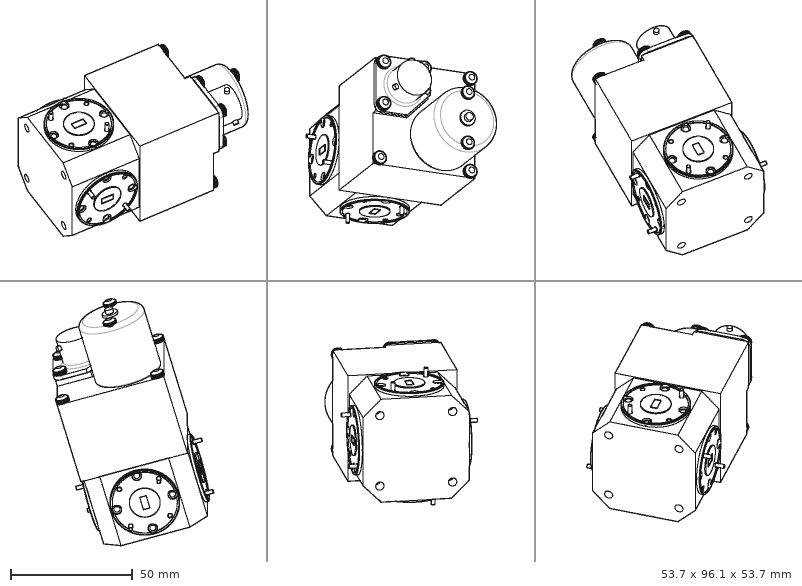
import cadquery as cq
import math


block_width = 44.4
block_length = 31.7
block_chamfer = 7.5
mount_hole_offset = 15.2
mount_hole_radius = 1.7
mount_hole_depth = 7.7
drill_point_angle = 118.0

flange_center_y = 16.0
flange_radius = 14.3
flange_thickness = 1.4
flange_edge_chamfer = 0.3
rim_inner_radius = 13.4
relief_depth = 0.5
land_radius = 6.3
port_width = 2.8
port_length = 5.6
port_depth = 0.3
hole_circle_radius = 11.9
screw_hole_radius = 1.25
screw_hole_depth = 5.8
counterbore_radius = 1.9
counterbore_depth = 0.9
dowel_radius = 0.82
dowel_span = 53.7
dowel_hole_depth = 3.8
dowel_hole_lead_in = 0.2
dowel_tip_chamfer = 0.14
dowel_angles = (45, 225)
empty_hole_angles = (135, 315)

housing_width = 45.6
housing_length = 35.0
boss_height = 2.4
boss_side = -0.7
boss_corner_cut = 8.5

cover_offset = -7.64
cover_radius = 13.9
cover_length = 26.7
cover_top_fillet = 2.0
cover_base_fillet = 0.6
cover_screw_offset = 11.0
cover_pad_radius = 2.1
cover_pad_rise = 0.3
indicator_disc_radius = 3.3
indicator_disc_height = 1.0
indicator_stem_radius = 1.68
indicator_tip_y = 96.1

connector_offset = 11.2
plate_width = 24.4
plate_thickness = 1.8
plate_corner_radius = 3.6
plate_corner_cut = 10.3
barrel_radius = 7.64
barrel_length = 11.5
barrel_root_fillet = 1.1
bayonet_radius = 1.11
bayonet_tip_radius = 9.0
bayonet_setback = 2.8
bayonet_angles = (90, 210, 330)
connector_screw_offset = 9.0

screw_radius = 2.8
head_rim_height = 0.3
head_tooth_height = 0.9
dome_height = 0.9
dome_top_radius = 1.25
washer_rim_height = 0.3
washer_tooth_height = 0.3
tooth_count = 16
tooth_depth = 0.3
tooth_gap = 0.6
base_screw_offset = 20.3

housing_end_y = block_length + housing_length
boss_end_y = housing_end_y + boss_height
plate_end_y = boss_end_y + plate_thickness
barrel_end_y = plate_end_y + barrel_length
cover_end_y = housing_end_y + cover_length
pad_end_y = cover_end_y + cover_pad_rise
disc_end_y = cover_end_y + indicator_disc_height
cover_screw_heights = [cover_offset - cover_screw_offset, cover_offset + cover_screw_offset]

flange_face = block_width / 2 + flange_thickness
relief_face = flange_face - relief_depth


def section(start_y, x=0.0, z=0.0):
    """Workplane across the Y axis, with local x along X and local y along Z."""
    return cq.Workplane("XZ", origin=(x, start_y, z))


def cylinder_y(radius, start_y, end_y, x, z):
    return section(start_y, x, z).circle(radius).extrude(start_y - end_y)


def drilled_hole(radius, depth):
    """Cutter for a blind hole with a conical bottom, running down from Z = 0."""
    point_depth = radius / math.tan(math.radians(drill_point_angle / 2))
    profile = [(0, 0), (radius, 0), (radius, -depth), (0, -depth - point_depth)]
    return cq.Workplane("XZ").polyline(profile).close().revolve(360, (0, 0), (0, 1))


def make_block():
    block = section(0).rect(block_width, block_width).extrude(-block_length)
    block = block.edges("|Y").chamfer(block_chamfer)
    hole = drilled_hole(mount_hole_radius, mount_hole_depth).rotate((0, 0, 0), (1, 0, 0), 90)
    for x in (-mount_hole_offset, mount_hole_offset):
        for z in (-mount_hole_offset, mount_hole_offset):
            block = block.cut(hole.translate((x, 0, z)))
    return block


def flange_position(angle):
    """X and Y on the hole circle of the +Z flange."""
    radians = math.radians(angle)
    return (
        hole_circle_radius * math.cos(radians),
        flange_center_y + hole_circle_radius * math.sin(radians),
    )


def flange_plane(height):
    return cq.Workplane("XY", origin=(0, flange_center_y, height))


def make_flange():
    """The +Z flange with its raised rim and land."""
    flange = flange_plane(block_width / 2).circle(flange_radius).extrude(flange_thickness)
    flange = flange.faces(">Z").edges().chamfer(flange_edge_chamfer)
    relief = flange_plane(relief_face).circle(rim_inner_radius).circle(land_radius)
    return flange.cut(relief.extrude(relief_depth))


def make_flange_cutter():
    """Waveguide port, counterbored screw holes and dowel holes of the +Z flange."""
    port = flange_plane(flange_face - port_depth).rect(port_width, port_length)
    cutter = port.extrude(port_depth)
    seat_face = relief_face - counterbore_depth
    screw_hole = drilled_hole(screw_hole_radius, screw_hole_depth)
    for angle in (0, 90, 180, 270):
        x, y = flange_position(angle)
        seat = cq.Workplane("XY", origin=(x, y, seat_face)).circle(counterbore_radius)
        cutter = cutter.union(seat.extrude(flange_face - seat_face))
        cutter = cutter.union(screw_hole.translate((x, y, seat_face)))
    dowel_hole = drilled_hole(dowel_radius, dowel_hole_depth)
    lead_in = cq.Workplane("XY").circle(dowel_radius + dowel_hole_lead_in)
    lead_in = lead_in.extrude(-dowel_hole_lead_in, taper=45)
    dowel_hole = dowel_hole.union(lead_in)
    for angle in dowel_angles + empty_hole_angles:
        x, y = flange_position(angle)
        cutter = cutter.union(dowel_hole.translate((x, y, relief_face)))
    return cutter


def turned_to_side(shape, side):
    """Copy of a +Z flange shape on one of the four sides of the block."""
    return shape.rotate((0, 0, 0), (0, 1, 0), 90 * side)


def make_waveguide_block():
    block = make_block()
    flange = make_flange()
    cutter = make_flange_cutter()
    for side in range(4):
        block = block.union(turned_to_side(flange, side))
        block = block.cut(turned_to_side(cutter, side))
    return block


def make_dowel(angle, side):
    """Dowel standing on the floor of its hole."""
    x, y = flange_position(angle)
    floor = relief_face - dowel_hole_depth
    dowel = cq.Workplane("XY", origin=(x, y, floor)).circle(dowel_radius)
    dowel = dowel.extrude(dowel_span / 2 - floor)
    dowel = dowel.faces(">Z").edges().chamfer(dowel_tip_chamfer)
    return turned_to_side(dowel, side)


def make_drive_housing():
    """Square housing with the connector seat on its end."""
    housing = section(block_length).rect(housing_width, housing_width).extrude(-housing_length)
    outer = housing_width / 2
    cut_end = boss_side + boss_corner_cut
    outline = [
        (boss_side, outer),
        (outer, outer),
        (outer, boss_side),
        (cut_end, boss_side),
        (boss_side, cut_end),
    ]
    boss = section(housing_end_y).polyline(outline).close().extrude(-boss_height)
    return housing.union(boss)


def make_cover():
    """Round motor cover with two screw pads and the stepped indicator."""
    cover = cylinder_y(cover_radius, housing_end_y, cover_end_y, cover_offset, cover_offset)
    cover = cover.faces(">Y").edges().fillet(cover_top_fillet)
    cover = cover.faces("<Y").edges().fillet(cover_base_fillet)
    pad_start_y = cover_end_y - cover_top_fillet
    for z in cover_screw_heights:
        pad = cylinder_y(cover_pad_radius, pad_start_y, pad_end_y, cover_offset, z)
        cover = cover.union(pad)
    disc = cylinder_y(indicator_disc_radius, cover_end_y, disc_end_y, cover_offset, cover_offset)
    stem = cylinder_y(indicator_stem_radius, disc_end_y, indicator_tip_y, cover_offset, cover_offset)
    return cover.union(disc).union(stem)


def make_connector():
    """Bayonet connector: plate with one corner cut off to clear the cover, barrel and pins."""
    center = connector_offset
    plate = section(boss_end_y, center, center).rect(plate_width, plate_width)
    plate = plate.extrude(-plate_thickness)
    plate = plate.edges("|Y and (>X or >Z)").fillet(plate_corner_radius)
    plate = plate.edges("|Y and <X and <Z").chamfer(plate_corner_cut)
    barrel = cylinder_y(barrel_radius, plate_end_y, barrel_end_y, center, center)
    connector = plate.union(barrel)
    barrel_root = cq.selectors.NearestToPointSelector((center, plate_end_y, center))
    connector = connector.edges(barrel_root).fillet(barrel_root_fillet)
    pin = cq.Workplane("YZ").circle(bayonet_radius).extrude(bayonet_tip_radius)
    for angle in bayonet_angles:
        turned = pin.rotate((0, 0, 0), (0, 1, 0), -angle)
        connector = connector.union(turned.translate((center, barrel_end_y - bayonet_setback, center)))
    return connector


def tooth_gaps(start_y, height):
    """Ring of notches around the rim of a screw."""
    ring = section(start_y).polarArray(screw_radius, 0, 360, tooth_count)
    return ring.rect(2 * tooth_depth, tooth_gap).extrude(-height)


def make_screw_head():
    """Domed head with a toothed rim, standing on Y = 0."""
    rim_top = head_rim_height + head_tooth_height
    rim = section(0).circle(screw_radius).extrude(-rim_top)
    rim = rim.cut(tooth_gaps(head_rim_height, head_tooth_height))
    center_y = rim_top + (dome_top_radius**2 + dome_height**2 - screw_radius**2) / (2 * dome_height)
    sphere_radius = math.hypot(screw_radius, rim_top - center_y)
    dome = cq.Workplane("XY", origin=(0, center_y, 0)).sphere(sphere_radius)
    zone = section(rim_top).circle(screw_radius).extrude(-dome_height)
    return rim.union(dome.intersect(zone))


def make_lock_washer():
    height = washer_rim_height + washer_tooth_height
    washer = section(0).circle(screw_radius).extrude(-height)
    return washer.cut(tooth_gaps(washer_rim_height, washer_tooth_height))


def make_drive_unit():
    """Housing, motor cover, connector and all their screws as one body."""
    drive = make_drive_housing().union(make_cover()).union(make_connector())
    head = make_screw_head()
    washer = make_lock_washer()
    base = base_screw_offset
    near = connector_offset - connector_screw_offset
    far = connector_offset + connector_screw_offset
    washer_seats = [
        (-base, housing_end_y, -base),
        (-base, housing_end_y, base),
        (base, housing_end_y, -base),
        (near, plate_end_y, far),
        (far, plate_end_y, far),
        (far, plate_end_y, near),
    ]
    washer_height = washer_rim_height + washer_tooth_height
    screw_parts = []
    for x, y, z in washer_seats:
        screw_parts.append(washer.translate((x, y, z)).val())
        screw_parts.append(head.translate((x, y + washer_height, z)).val())
    for z in cover_screw_heights:
        screw_parts.append(head.translate((cover_offset, pad_end_y, z)).val())
    return cq.Workplane(drive.val().fuse(*screw_parts)).solids()


waveguide_block = make_waveguide_block()
drive_unit = make_drive_unit()
dowels = [make_dowel(angle, side) for side in range(4) for angle in dowel_angles]

result = cq.Compound.makeCompound(
    [waveguide_block.val(), drive_unit.val(), *[dowel.val() for dowel in dowels]]
)